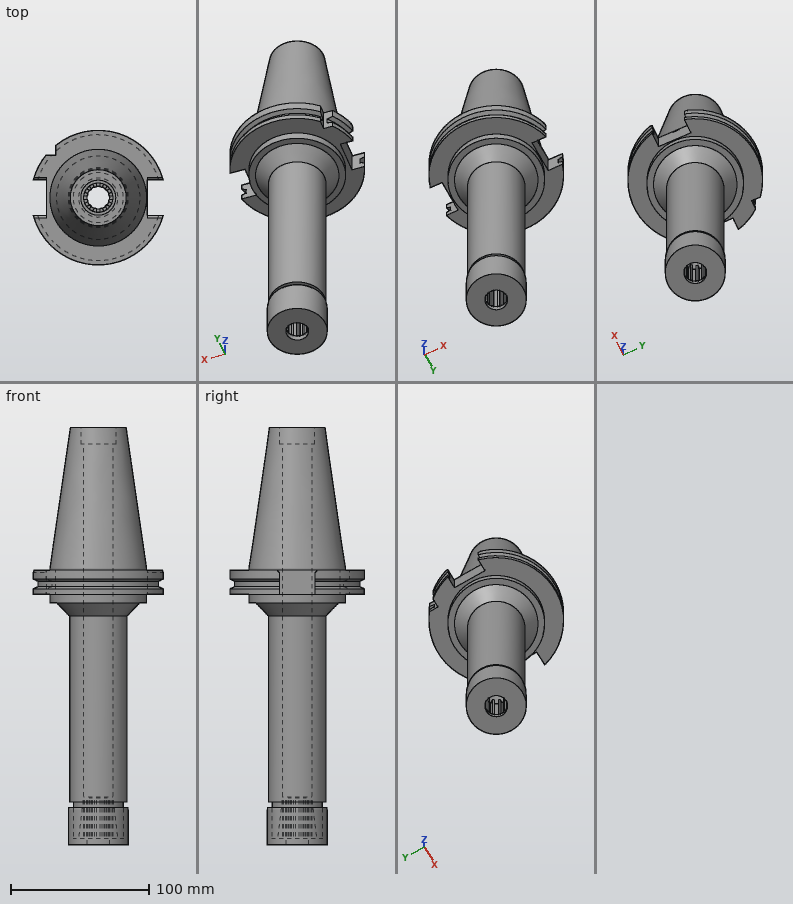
import cadquery as cq
import math

total_length = 301.8

gauge_z = 200.0
gauge_radius = 35.0
taper_top_radius = 20.2

flange_radius = 48.73
flange_top_z = gauge_z - 1.5
flange_bottom_z = gauge_z - 19.0
groove_mid_z = gauge_z - 11.5
groove_floor_radius = 45.5
groove_floor_width = 4.0
groove_mouth_width = 7.0

collar_bottom_z = 175.0
cone_top_radius = 30.2
cone_bottom_z = 165.5
shaft_radius = 20.8
shaft_bottom_z = 30.8

drive_slot_width = 25.5
drive_slot_chamfer = 1.8
left_slot_floor_x = -37.5
right_slot_floor_x = 35.5
notch_corner = 30.8

counterbore_radius = 12.7
counterbore_depth = 12.0
bore_radius = 10.5

nut_radius = 21.7
nut_top_z = 27.2
nut_rim_height = 1.8
nut_rim_radius = 21.5
nut_lip_thickness = 4.5
nut_hole_radius = 8.0

nose_radius = 18.0

collet_bottom_radius = 14.2
collet_length = 30.2
collet_top_z = nut_lip_thickness + collet_length
collet_bore_radius = 7.8
slit_count = 12
slit_width = 2.7
slit_end_radius = bore_radius


def revolve_profile(points):
    """Full turn of an (r, z) profile about the Z axis."""
    return cq.Workplane("XZ").polyline(points).close().revolve(360, (0, 0, 0), (0, 1, 0))


def collet_cone():
    """Solid cone that the collet and its seat in the nose share."""
    return revolve_profile([
        (0, nut_lip_thickness),
        (collet_bottom_radius, nut_lip_thickness),
        (bore_radius, collet_top_z),
        (0, collet_top_z),
    ])


def drive_slot(floor_x):
    """Cutter for one drive slot, open outwards from floor_x, with chamfered upper edges."""
    half = drive_slot_width / 2
    wide = half + drive_slot_chamfer
    cut_length = math.copysign(flange_radius, floor_x)
    return (
        cq.Workplane("YZ", origin=(floor_x, 0, 0))
        .polyline([
            (-half, flange_bottom_z),
            (half, flange_bottom_z),
            (half, flange_top_z - drive_slot_chamfer),
            (wide, flange_top_z),
            (-wide, flange_top_z),
            (-half, flange_top_z - drive_slot_chamfer),
        ])
        .close()
        .extrude(cut_length)
    )


def corner_notch():
    """Cutter for the square notch at the -X, +Y corner of the flange."""
    return (
        cq.Workplane("XY", origin=(0, 0, flange_bottom_z))
        .rect(flange_radius, flange_radius, centered=False)
        .extrude(flange_top_z - flange_bottom_z)
        .translate((-notch_corner - flange_radius, notch_corner, 0))
    )


def make_housing():
    """Taper shank, grooved flange, shaft and threaded nose, bored through."""
    body = revolve_profile([
        (0, nut_lip_thickness),
        (nose_radius, nut_lip_thickness),
        (nose_radius, shaft_bottom_z),
        (shaft_radius, shaft_bottom_z),
        (shaft_radius, cone_bottom_z),
        (cone_top_radius, collar_bottom_z),
        (gauge_radius, collar_bottom_z),
        (gauge_radius, flange_bottom_z),
        (flange_radius, flange_bottom_z),
        (flange_radius, groove_mid_z - groove_mouth_width / 2),
        (groove_floor_radius, groove_mid_z - groove_floor_width / 2),
        (groove_floor_radius, groove_mid_z + groove_floor_width / 2),
        (flange_radius, groove_mid_z + groove_mouth_width / 2),
        (flange_radius, flange_top_z),
        (gauge_radius, flange_top_z),
        (gauge_radius, gauge_z),
        (taper_top_radius, total_length),
        (0, total_length),
    ])
    top = cq.Workplane("XY", origin=(0, 0, total_length))
    body = body.cut(top.circle(bore_radius).extrude(collet_top_z - total_length))
    body = body.cut(top.circle(counterbore_radius).extrude(-counterbore_depth))
    body = body.cut(collet_cone())
    body = body.cut(drive_slot(left_slot_floor_x))
    body = body.cut(drive_slot(right_slot_floor_x))
    return body.cut(corner_notch())


def make_nut():
    """Nut around the nose, with a lip under the collet."""
    return revolve_profile([
        (nut_hole_radius, 0),
        (nut_radius, 0),
        (nut_radius, nut_top_z - nut_rim_height),
        (nut_rim_radius, nut_top_z),
        (nose_radius, nut_top_z),
        (nose_radius, nut_lip_thickness),
        (nut_hole_radius, nut_lip_thickness),
    ])


def make_collet():
    """Tapered collet with radial slits along its bore, held together by its thicker lower wall."""
    bottom = cq.Workplane("XY", origin=(0, 0, nut_lip_thickness))
    collet = collet_cone().cut(bottom.circle(collet_bore_radius).extrude(collet_length))
    for index in range(slit_count):
        slit = (
            bottom.center(slit_end_radius / 2, 0)
            .rect(slit_end_radius, slit_width)
            .extrude(collet_length)
            .rotate((0, 0, 0), (0, 0, 1), index * 360 / slit_count)
        )
        collet = collet.cut(slit)
    return collet


housing = make_housing()
nut = make_nut()
collet = make_collet()

result = cq.Compound.makeCompound([housing.val(), nut.val(), collet.val()])